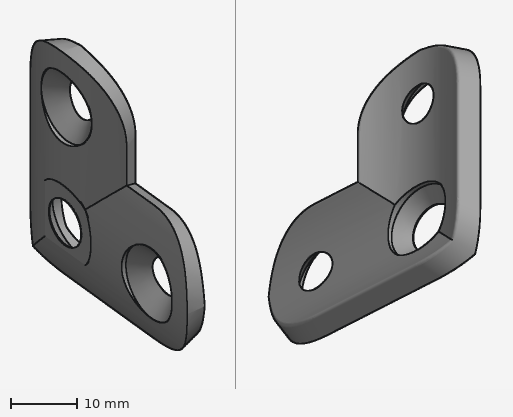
import cadquery as cq
import math


cone_angle = 90.0

overall = 43.0
leg_width = 24.0
outer_radius = 25.0
thickness = 3.7
corner_round = 10.0
back_edge_round = 0.5

screw_from_end = 10.0
screw_diameter = 6.4
head_diameter = 12.5
head_rim_depth = 0.8

corner_hole_diameter = 8.0
seat_diameter = 14.25
seat_flat_half_width = 4.95
lip_thickness = 0.17

half_width = leg_width / 2
end_round_center = overall - half_width
screw_center = overall - screw_from_end
side_angle = math.asin(half_width / outer_radius)
side_edge_y = outer_radius * (1 - math.cos(side_angle))
seat_depth = outer_radius - math.sqrt(outer_radius**2 - seat_flat_half_width**2)
beyond = 2 * overall


def swap_x_and_z(shape):
    """Reflect a shape in the plane x = z."""
    return shape.mirror("XY").rotate((0, 0, 0), (0, 1, 0), -90)


def round_cutter(x, z, start, end, diameter):
    """Cylinder along Y at (x, z), from y = start to y = end."""
    disc = cq.Workplane("XZ", origin=(x, start, z)).circle(diameter / 2)
    return disc.extrude(start - end)


def cone_length(first_diameter, second_diameter):
    """Length of a cone between two diameters."""
    return abs(first_diameter - second_diameter) / 2 / math.tan(math.radians(cone_angle / 2))


def cone_cutter(x, z, start, start_diameter, end_diameter):
    """Cone along +Y at (x, z), from y = start."""
    length = cone_length(start_diameter, end_diameter)
    base = cq.Vector(x, start, z)
    cone = cq.Solid.makeCone(start_diameter / 2, end_diameter / 2, length, base, cq.Vector(0, 1, 0))
    return cq.Workplane(cone)


def end_round():
    """Prism that rounds one side of the leg end, running along the slope of that side wall."""
    side_plane = cq.Plane(
        origin=(0, side_edge_y, end_round_center),
        xDir=(math.cos(side_angle), -math.sin(side_angle), 0),
        normal=(-math.sin(side_angle), -math.cos(side_angle), 0),
    )
    arc_middle = (half_width * (1 - math.sqrt(0.5)), half_width * math.sqrt(0.5))
    return (
        cq.Workplane(side_plane)
        .moveTo(0, -beyond)
        .lineTo(0, 0)
        .threePointArc(arc_middle, (half_width, half_width))
        .lineTo(beyond, half_width)
        .lineTo(beyond, -beyond)
        .close()
        .extrude(overall, both=True)
    )


def upright_leg():
    """Piece of tube wall along Z, rounded at the top and mitred where it meets the other leg."""
    inner_radius = outer_radius - thickness
    inner_half_width = inner_radius * math.sin(side_angle)
    inner_edge_y = outer_radius - inner_radius * math.cos(side_angle)
    wall = (
        cq.Workplane("XY")
        .moveTo(0, side_edge_y)
        .threePointArc((half_width, 0), (leg_width, side_edge_y))
        .lineTo(half_width + inner_half_width, inner_edge_y)
        .threePointArc((half_width, thickness), (half_width - inner_half_width, inner_edge_y))
        .close()
        .extrude(overall)
    )
    low_side_round = end_round()
    high_side_round = low_side_round.mirror("YZ", (half_width, 0, 0))
    mitre = (
        cq.Workplane("XZ", origin=(0, -thickness, 0))
        .polyline([(-beyond, -beyond), (beyond, beyond), (-beyond, beyond)])
        .close()
        .extrude(-beyond)
    )
    return wall.intersect(low_side_round).intersect(high_side_round).intersect(mitre)


def plate():
    """Both legs joined, with the outer corner and the back rim rounded."""
    leg = upright_leg()
    both = leg.union(swap_x_and_z(leg))
    straight_edges = both.edges("%LINE")
    corner_edge = straight_edges.sort(lambda edge: edge.Center().x + edge.Center().z)[0]
    both = corner_edge.fillet(corner_round)
    back_level = (side_edge_y + thickness) / 2
    back_rim = both.edges().filter(
        lambda edge: edge.BoundingBox().ymin > back_level and edge.geomType() != "ELLIPSE"
    )
    return back_rim.fillet(back_edge_round)


def screw_hole(x, z):
    """Through hole with a cone below a short straight rim, cut from the front."""
    rim = round_cutter(x, z, -thickness, head_rim_depth, head_diameter)
    cone = cone_cutter(x, z, head_rim_depth, head_diameter, screw_diameter)
    shank = round_cutter(x, z, 0, beyond, screw_diameter)
    return rim.union(cone).union(shank)


def corner_hole():
    """Through hole with a flat seat in front, flaring into a wider bore at the back."""
    x = half_width
    z = half_width
    lip_back = seat_depth + lip_thickness
    bore_start = lip_back + cone_length(head_diameter, corner_hole_diameter)
    seat = round_cutter(x, z, -thickness, seat_depth, seat_diameter)
    hole = round_cutter(x, z, 0, beyond, corner_hole_diameter)
    flare = cone_cutter(x, z, lip_back, corner_hole_diameter, head_diameter)
    bore = round_cutter(x, z, bore_start, beyond, head_diameter)
    return seat.union(hole).union(flare).union(bore)


result = plate()
result = result.cut(screw_hole(half_width, screw_center))
result = result.cut(screw_hole(screw_center, half_width))
result = result.cut(corner_hole())